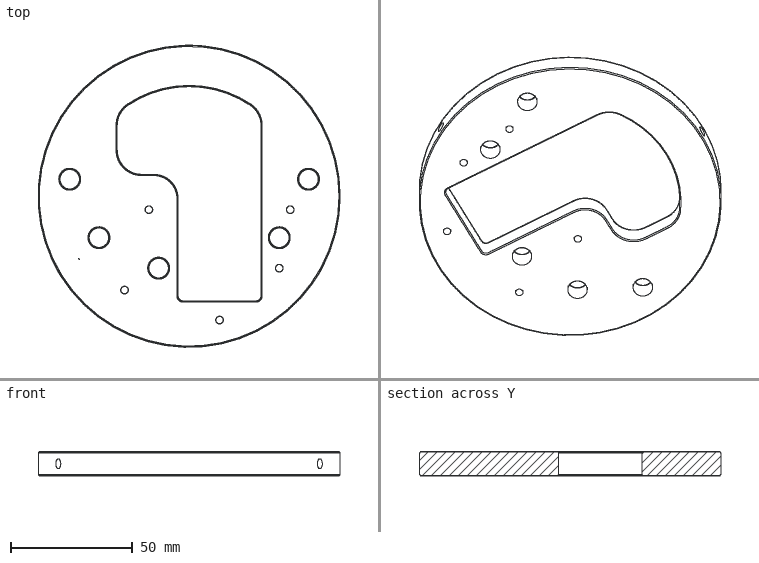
import cadquery as cq
import math

disc_diameter = 124.0
disc_radius = disc_diameter / 2
thickness = 10.0
edge_chamfer = 0.5

cutout_half_width = 29.5
cutout_arc_radius = 45.0
head_floor_y = 9.0
leg_left_x = -4.5
leg_bottom_y = -42.9
bend_radius = 10.0
leg_corner_radius = 2.0

selection_margin = 1.0

large_hole_diameter = 8.0
countersink_angle = 90.0
large_hole_centers = [
    (-49.0, 7.0),
    (49.0, 7.0),
    (-37.0, -17.0),
    (37.0, -17.0),
    (-12.5, -29.5),
]
small_hole_diameter = 3.0
small_hole_centers = [
    (-16.5, -5.5),
    (41.5, -5.5),
    (37.0, -29.5),
    (-26.5, -38.5),
    (12.5, -50.8),
]

radial_hole_diameter = 4.0
radial_hole_depth = 10.0
radial_hole_count = 3
first_radial_hole_angle = 90.0


def make_cutout():
    """Solid prism that fills the through opening, with all upright corners rounded."""
    arc_end_y = math.sqrt(cutout_arc_radius**2 - cutout_half_width**2)
    opening = (
        cq.Workplane("XY")
        .moveTo(leg_left_x, leg_bottom_y)
        .lineTo(cutout_half_width, leg_bottom_y)
        .lineTo(cutout_half_width, arc_end_y)
        .threePointArc((0, cutout_arc_radius), (-cutout_half_width, arc_end_y))
        .lineTo(-cutout_half_width, head_floor_y)
        .lineTo(leg_left_x, head_floor_y)
        .close()
        .extrude(thickness)
    )
    leg_corners = cq.selectors.BoxSelector(
        (leg_left_x - selection_margin, leg_bottom_y - selection_margin, 0),
        (cutout_half_width + selection_margin, leg_bottom_y + selection_margin, thickness),
    )
    opening = opening.edges("|Z").edges(leg_corners).fillet(leg_corner_radius)
    head_corners = cq.selectors.BoxSelector(
        (-cutout_half_width - selection_margin, head_floor_y - selection_margin, 0),
        (cutout_half_width + selection_margin, arc_end_y + selection_margin, thickness),
    )
    return opening.edges("|Z").edges(head_corners).fillet(bend_radius)


def make_plate():
    """Disc standing on Z = 0 with its opening; rims and opening are chamfered on both faces."""
    disc = cq.Workplane("XY").circle(disc_radius).extrude(thickness)
    opened_disc = disc.cut(make_cutout())
    return opened_disc.faces("<Z or >Z").edges().chamfer(edge_chamfer)


def cut_vertical_holes(body):
    """Drill the large holes, chamfered at the top face, and the plain small holes."""
    top = body.faces(">Z").workplane(origin=(0, 0, thickness))
    body = top.pushPoints(large_hole_centers).cskHole(
        large_hole_diameter, large_hole_diameter + 2 * edge_chamfer, countersink_angle
    )
    top = body.faces(">Z").workplane(origin=(0, 0, thickness))
    return top.pushPoints(small_hole_centers).hole(small_hole_diameter)


def cut_radial_holes(body):
    """Drill the blind holes from the rim toward the disc axis at mid thickness."""
    for index in range(radial_hole_count):
        angle = math.radians(first_radial_hole_angle + index * 360.0 / radial_hole_count)
        outward = cq.Vector(math.cos(angle), math.sin(angle), 0)
        start = outward * disc_radius + cq.Vector(0, 0, thickness / 2)
        drill = cq.Solid.makeCylinder(radial_hole_diameter / 2, radial_hole_depth, start, outward * -1)
        body = body.cut(cq.Workplane(drill))
    return body


plate = make_plate()
plate = cut_vertical_holes(plate)
result = cut_radial_holes(plate)